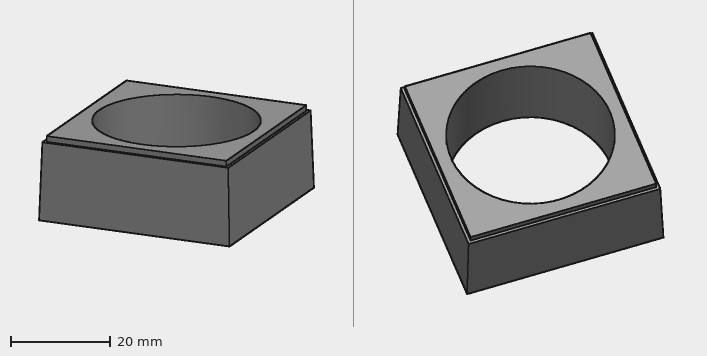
import cadquery as cq

base_side = 42.0
body_top_side = 41.0
lip_side = 39.65
total_height = 17.7
lip_height = 1.2
bore_diameter = 34.0

body_height = total_height - lip_height

body = (
    cq.Workplane("XY")
    .rect(base_side, base_side)
    .workplane(offset=body_height)
    .rect(body_top_side, body_top_side)
    .loft(ruled=True)
)

lip = (
    cq.Workplane("XY")
    .workplane(offset=body_height)
    .rect(lip_side, lip_side)
    .extrude(lip_height)
)

bore = cq.Workplane("XY").circle(bore_diameter / 2).extrude(total_height)

result = body.union(lip).cut(bore)